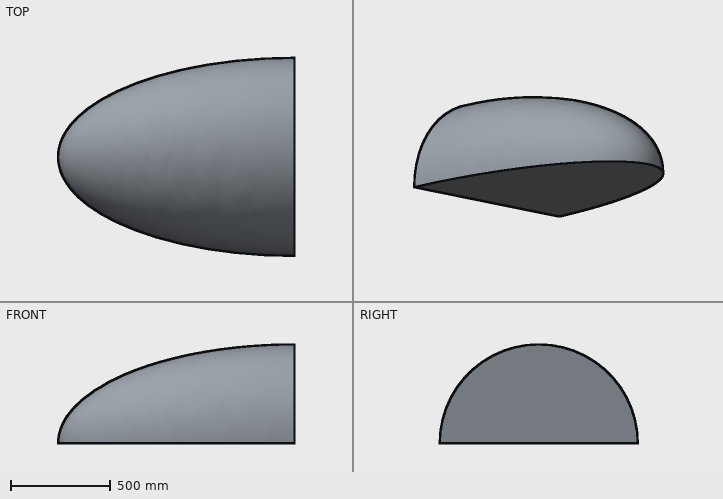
import cadquery as cq

nose_length = 1192.9
base_radius = 500.0

profile = (
    cq.Workplane("XY")
    .moveTo(0, base_radius)
    .ellipseArc(nose_length, base_radius, 90, 180, startAtCurrent=True)
    .lineTo(0, 0)
    .close()
)

result = profile.revolve(180, (0, 0, 0), (1, 0, 0))